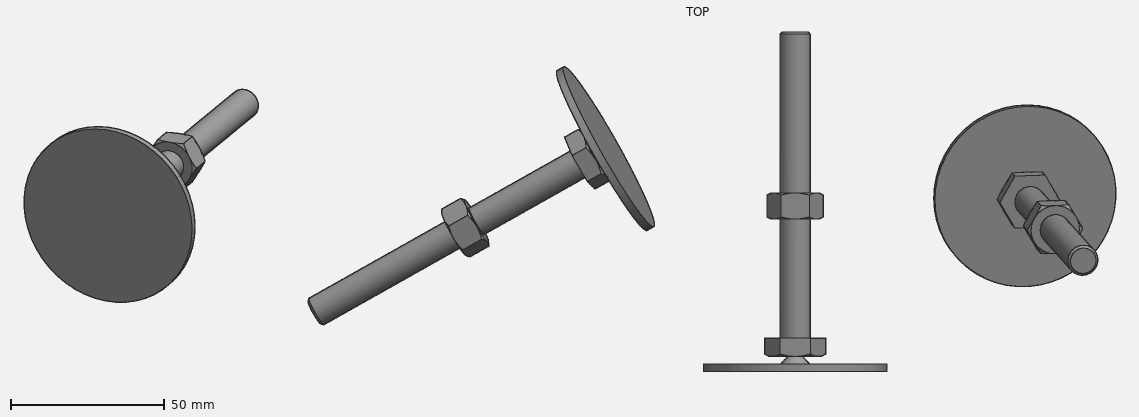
import cadquery as cq
import math

overall_length = 111.0

plate_diameter = 60.0
plate_thickness = 2.5

rod_diameter = 10.0
rod_tip_chamfer = 0.8

neck_diameter = 4.8
cone_base_diameter = 9.5

stud_hex_width = 17.3
stud_hex_start = 5.0
stud_hex_height = 6.0

nut_width = 16.0
nut_start = 49.8
nut_height = 8.5

corner_chamfer_angle = 30.0


def across_corners(width):
    """Corner-to-corner size of a hexagon with the given width across flats."""
    return width / math.cos(math.pi / 6)


def cylinder(diameter, start, length):
    """Solid cylinder on the Y axis, from start toward +Y."""
    plane = cq.Plane(origin=(0, start, 0), xDir=(1, 0, 0), normal=(0, 1, 0))
    return cq.Workplane(plane).circle(diameter / 2).extrude(length)


def hexagon(width, start, height, chamfer_far_end):
    """Hexagonal prism with corners on +X and -X and conically chamfered ends."""
    corner_radius = across_corners(width) / 2
    face_radius = width / 2
    drop = (corner_radius - face_radius) * math.tan(math.radians(corner_chamfer_angle))
    end = start + height

    plane = cq.Plane(origin=(0, start, 0), xDir=(1, 0, 0), normal=(0, 1, 0))
    prism = cq.Workplane(plane).polygon(6, 2 * corner_radius).extrude(height)

    outline = cq.Workplane("XY").moveTo(0, start).lineTo(face_radius, start)
    outline = outline.lineTo(corner_radius, start + drop)
    if chamfer_far_end:
        outline = outline.lineTo(corner_radius, end - drop).lineTo(face_radius, end)
    else:
        outline = outline.lineTo(corner_radius, end)
    envelope = outline.lineTo(0, end).close().revolve(360, (0, 0, 0), (0, 1, 0))
    return prism.intersect(envelope)


def make_plate():
    """Round foot plate."""
    return cylinder(plate_diameter, 0, plate_thickness)


def make_stud():
    """Rod with a hexagon near its foot and a conical neck resting on the plate."""
    conical_neck = (
        cq.Workplane("XY")
        .moveTo(0, plate_thickness)
        .lineTo(cone_base_diameter / 2, plate_thickness)
        .lineTo(neck_diameter / 2, stud_hex_start)
        .lineTo(0, stud_hex_start)
        .close()
        .revolve(360, (0, 0, 0), (0, 1, 0))
    )
    drive_hexagon = hexagon(stud_hex_width, stud_hex_start, stud_hex_height, chamfer_far_end=False)
    rod_start = stud_hex_start + stud_hex_height
    rod = cylinder(rod_diameter, rod_start, overall_length - rod_start)
    rod = rod.faces(">Y").chamfer(rod_tip_chamfer)
    return conical_neck.union(drive_hexagon).union(rod)


def make_nut():
    """Lock nut whose bore fits the rod."""
    body = hexagon(nut_width, nut_start, nut_height, chamfer_far_end=True)
    return body.cut(cylinder(rod_diameter, nut_start, nut_height))


plate = make_plate()
stud = make_stud()
nut = make_nut()

result = cq.Compound.makeCompound([plate.val(), stud.val(), nut.val()])